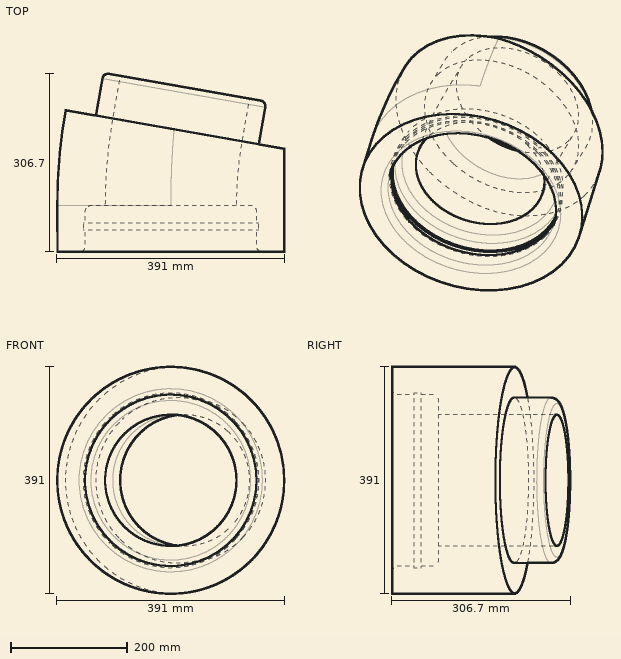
import cadquery as cq
import math


BEND_ANGLE = 10.0
BEND_RADIUS = 750.5
BEND_START = 79.8

BELL_DIAMETER = 391.0
SPIGOT_DIAMETER = 285.0
SPIGOT_LENGTH = 74.5

BORE_DIAMETER = 226.0
SOCKET_DIAMETER = 295.2
SOCKET_DEPTH = BEND_START
GROOVE_START = 37.5
GROOVE_WIDTH = 12.5
GROOVE_DEPTH = 3.0

ROUNDING = 10.0
OVERLAP = 4.0

bell_radius = BELL_DIAMETER / 2
spigot_radius = SPIGOT_DIAMETER / 2
bore_radius = BORE_DIAMETER / 2
socket_radius = SOCKET_DIAMETER / 2

turn = math.radians(BEND_ANGLE)
end_centre = cq.Vector(
    BEND_RADIUS * (1 - math.cos(turn)),
    BEND_START + BEND_RADIUS * math.sin(turn),
    0,
)
end_direction = cq.Vector(math.sin(turn), math.cos(turn), 0)
end_plane = cq.Plane(origin=end_centre, xDir=(0, 0, 1), normal=end_direction)


def curved_rod(radius):
    """Round rod following the turn from its start to its end."""
    section = cq.Workplane("XZ", origin=(0, BEND_START, 0)).circle(radius)
    return section.revolve(BEND_ANGLE, (BEND_RADIUS, 4, 0), (BEND_RADIUS, 0, 0))


def end_rod(radius, length):
    """Straight round rod continuing beyond the end of the turn."""
    return cq.Workplane(end_plane).circle(radius).extrude(length)


def bell():
    """Curved body kept within the straight cylinder, so its +X side stays straight."""
    straight = cq.Workplane("XZ").circle(bell_radius).extrude(-BEND_START)
    full_length = end_centre.y + bell_radius
    envelope = cq.Workplane("XZ").circle(bell_radius).extrude(-full_length)
    return straight.union(curved_rod(bell_radius).intersect(envelope))


def spigot():
    rod = end_rod(spigot_radius, SPIGOT_LENGTH)
    return rod.faces(cq.selectors.DirectionMinMaxSelector(end_direction)).edges().fillet(ROUNDING)


def socket():
    """Stepped cavity with a rounded mouth, a seal groove and a rounded floor corner."""
    groove_radius = socket_radius + GROOVE_DEPTH
    groove_end = GROOVE_START + GROOVE_WIDTH
    mouth_radius = socket_radius + ROUNDING
    floor_radius = socket_radius - ROUNDING
    arc_offset = ROUNDING * (1 - math.sqrt(0.5))
    profile = (
        cq.Workplane("XY")
        .moveTo(0, 0)
        .lineTo(mouth_radius, 0)
        .threePointArc((socket_radius + arc_offset, arc_offset), (socket_radius, ROUNDING))
        .lineTo(socket_radius, GROOVE_START)
        .lineTo(groove_radius, GROOVE_START)
        .lineTo(groove_radius, groove_end)
        .lineTo(socket_radius, groove_end)
        .lineTo(socket_radius, SOCKET_DEPTH - ROUNDING)
        .threePointArc(
            (socket_radius - arc_offset, SOCKET_DEPTH - arc_offset),
            (floor_radius, SOCKET_DEPTH),
        )
        .lineTo(0, SOCKET_DEPTH)
        .close()
    )
    return profile.revolve(360, (0, 0, 0), (0, 1, 0))


def bore():
    return curved_rod(bore_radius).union(end_rod(bore_radius, SPIGOT_LENGTH + OVERLAP))


result = bell().union(spigot()).cut(socket()).cut(bore())